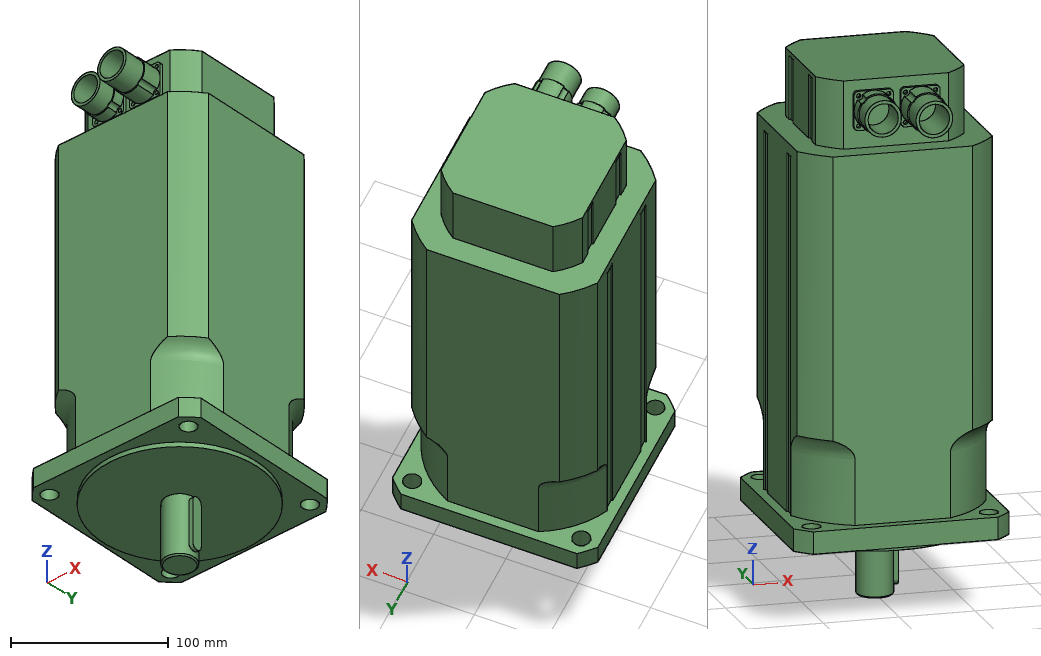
import cadquery as cq
import math


shaft_length = 46.7
pilot_height = 3.5
flange_thickness = 15.0
body_height = 244.0
cap_height = 45.0

body_bottom = flange_thickness
body_top = body_bottom + body_height
cap_top = body_top + cap_height

flange_width = 142.0
flange_corner_radius = 93.5
mount_hole_offset = 58.5
mount_hole_diameter = 12.0
pilot_diameter = 130.0

body_width = 128.5
body_corner_radius = 79.0
relief_radius = 71.5
relief_height = 43.2
relief_fillet = 16.0

cap_width = 97.7
cap_corner_radius = 60.0

shaft_diameter = 24.0
shaft_chamfer = 1.0
key_width = 8.0
key_length = 40.5
key_end_gap = 5.3
key_top = 14.5

groove_width = 8.0
groove_depth = 1.0
body_groove_offset = 26.2
body_groove_top_gap = 7.5
cap_groove_offset = 22.0
cap_groove_top_gap = 3.2

connector_spacing = 30.8
connector_drop = 20.0
plate_width = 26.0
plate_thickness = 2.5
plate_corner_radius = 3.0
screw_offset = 10.0
screw_hole_diameter = 2.7
flute_diameter = 5.3
barrel_diameter = 24.0
bore_diameter = 20.0
short_collar_end = 11.0
short_length = 24.0
long_collar_end = 17.5
overall_depth = 154.0
long_length = overall_depth - flange_width / 2 - cap_width / 2


def cylinder(diameter, bottom, top):
    return cq.Workplane("XY").workplane(offset=bottom).circle(diameter / 2).extrude(top - bottom)


def square_prism(width, bottom, top):
    return cq.Workplane("XY").workplane(offset=bottom).rect(width, width).extrude(top - bottom)


def turned_square(width, corner_radius, bottom, top):
    """Square prism with its corners turned to a radius about the Z axis."""
    return square_prism(width, bottom, top).intersect(cylinder(2 * corner_radius, bottom, top))


def make_flange():
    flange = turned_square(flange_width, flange_corner_radius, 0, flange_thickness)
    hole_pitch = 2 * mount_hole_offset
    holes = (
        cq.Workplane("XY")
        .rect(hole_pitch, hole_pitch, forConstruction=True)
        .vertices()
        .circle(mount_hole_diameter / 2)
        .extrude(flange_thickness)
    )
    pilot = cylinder(pilot_diameter, -pilot_height, 0)
    return flange.union(pilot).cut(holes)


def make_body():
    """Square prism cut by a turned profile that necks in next to the flange."""
    relief_top = body_bottom + relief_height
    fillet_centre_radius = relief_radius + relief_fillet

    def fillet_point(radius):
        rise = math.sqrt(relief_fillet**2 - (fillet_centre_radius - radius) ** 2)
        return radius, relief_top + rise

    turned_corners = (
        cq.Workplane("XZ")
        .moveTo(0, body_bottom)
        .lineTo(relief_radius, body_bottom)
        .lineTo(relief_radius, relief_top)
        .threePointArc(
            fillet_point((relief_radius + body_corner_radius) / 2),
            fillet_point(body_corner_radius),
        )
        .lineTo(body_corner_radius, body_top)
        .lineTo(0, body_top)
        .close()
        .revolve(360, (0, 0), (0, 1))
    )
    return square_prism(body_width, body_bottom, body_top).intersect(turned_corners)


def make_grooves(face_width, offset, bottom, top):
    """Pair of vertical grooves in a -X face, placed at +-offset in Y."""
    return (
        cq.Workplane("XY")
        .workplane(offset=bottom)
        .pushPoints([(-face_width / 2, -offset), (-face_width / 2, offset)])
        .rect(2 * groove_depth, groove_width)
        .extrude(top - bottom)
    )


def make_shaft():
    shaft_end = -pilot_height - shaft_length
    shaft = cylinder(shaft_diameter, shaft_end, -pilot_height).faces("<Z").chamfer(shaft_chamfer)
    key_middle = shaft_end + key_end_gap + key_length / 2
    key = (
        cq.Workplane("YZ")
        .center(0, key_middle)
        .slot2D(key_length, key_width, 90)
        .extrude(key_top)
    )
    return shaft.union(key)


def make_motor():
    cap = turned_square(cap_width, cap_corner_radius, body_top, cap_top)
    body_grooves = make_grooves(
        body_width, body_groove_offset, body_bottom, body_top - body_groove_top_gap
    )
    cap_grooves = make_grooves(cap_width, cap_groove_offset, body_top, cap_top - cap_groove_top_gap)
    body = make_body().cut(body_grooves)
    return make_flange().union(body).union(cap.cut(cap_grooves)).union(make_shaft())


def make_connector(x, collar_end, length):
    """Screw plate, fluted collar and hollow barrel, pointing along -Y from the cap face."""
    face = cq.Workplane("XZ", origin=(x, -cap_width / 2, cap_top - connector_drop))
    plate_front = face.workplane(offset=plate_thickness)
    screw_pitch = 2 * screw_offset

    def screw_cylinders(start, diameter, depth):
        corners = start.rect(screw_pitch, screw_pitch, forConstruction=True).vertices()
        return corners.circle(diameter / 2).extrude(depth)

    plate = face.rect(plate_width, plate_width).extrude(plate_thickness)
    plate = plate.edges("|Y").fillet(plate_corner_radius)
    plate = plate.cut(screw_cylinders(face, screw_hole_diameter, plate_thickness))

    collar_length = collar_end - plate_thickness
    collar = plate_front.circle(plate_width / 2).extrude(collar_length)
    collar = collar.cut(screw_cylinders(plate_front, flute_diameter, collar_length))

    barrel = face.workplane(offset=collar_end).circle(barrel_diameter / 2).extrude(length - collar_end)
    bore = plate_front.circle(bore_diameter / 2).extrude(length - plate_thickness)
    return plate.union(collar).union(barrel).cut(bore)


motor = make_motor()
connectors = [
    make_connector(x, collar_end, length)
    for x, collar_end, length in [
        (-connector_spacing / 2, short_collar_end, short_length),
        (connector_spacing / 2, long_collar_end, long_length),
    ]
]

result = cq.Compound.makeCompound([motor.val(), *[connector.val() for connector in connectors]])